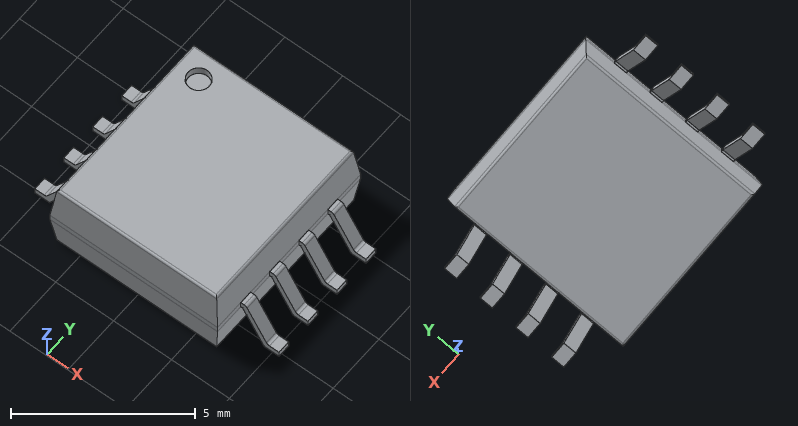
import cadquery as cq
import math

body_length_x = 5.8
body_width_y = 6.25
overall_height = 2.65
standoff = 0.085
side_inset = 0.14
rim_radius = 0.08

mark_diameter = 0.73
mark_depth = 0.28
mark_x = -1.96
mark_y = 2.19

lead_span = 8.44
lead_thickness = 0.21
lead_width = 0.43
lead_pitch = 1.27
leads_per_side = 4
shoulder_top = 1.435
foot_length = 0.4
shoulder_length = 0.185
bend_radius = 0.12

half_body = body_length_x / 2
shoulder_bottom = shoulder_top - lead_thickness


def make_tapered_half(height):
    """Block tapering inwards from the full body outline to a smaller face with a rounded rim."""
    taper = math.degrees(math.atan2(side_inset, height))
    block = cq.Workplane("XY").rect(body_length_x, body_width_y).extrude(height, taper=taper)
    return block.faces(">Z").edges().fillet(rim_radius)


def make_body():
    """Two tapered halves on a straight band as thick as the leads, with the index mark sunk in the top."""
    upper = make_tapered_half(overall_height - shoulder_top).translate((0, 0, shoulder_top))
    lower = make_tapered_half(shoulder_bottom - standoff).mirror("XY").translate((0, 0, shoulder_bottom))
    band = (
        cq.Workplane("XY")
        .workplane(offset=shoulder_bottom)
        .rect(body_length_x, body_width_y)
        .extrude(lead_thickness)
    )
    mark = (
        cq.Workplane("XY")
        .workplane(offset=overall_height - mark_depth)
        .center(mark_x, mark_y)
        .circle(mark_diameter / 2)
        .extrude(mark_depth)
    )
    return band.union(upper).union(lower).cut(mark)


def make_lead():
    """Lead on the +X side, centred on y = 0, of even thickness from the body to the tip."""
    tip = lead_span / 2
    foot_corner = tip - foot_length
    shoulder_corner = half_body + shoulder_length
    slope_angle = math.atan2(shoulder_bottom, foot_corner - shoulder_corner)
    corner_shift = lead_thickness * math.tan(slope_angle / 2)
    profile = [
        (half_body, shoulder_top),
        (shoulder_corner, shoulder_top),
        (foot_corner, lead_thickness),
        (tip, lead_thickness),
        (tip, 0),
        (foot_corner - corner_shift, 0),
        (shoulder_corner - corner_shift, shoulder_bottom),
        (half_body, shoulder_bottom),
    ]
    lead = cq.Workplane("XZ").polyline(profile).close().extrude(lead_width / 2, both=True)
    upper_bends = [
        cq.selectors.NearestToPointSelector((shoulder_corner, 0, shoulder_top)),
        cq.selectors.NearestToPointSelector((foot_corner, 0, lead_thickness)),
    ]
    for bend in upper_bends:
        lead = lead.edges("|Y").edges(bend).fillet(bend_radius)
    return lead


body = make_body()
lead = make_lead()
leads = []
for index in range(leads_per_side):
    lead_y = (index - (leads_per_side - 1) / 2) * lead_pitch
    for turn in (0, 180):
        placed = lead.rotate((0, 0, 0), (0, 0, 1), turn).translate((0, lead_y, 0))
        leads.append(placed.solids().val())

result = cq.Compound.makeCompound([body.solids().val(), *leads])